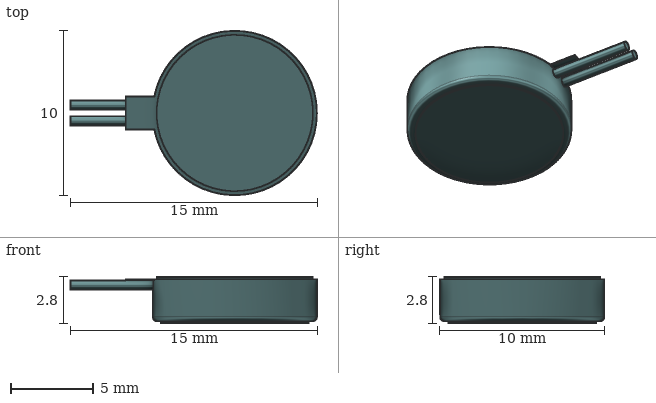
import cadquery as cq

total_length = 15.0
total_height = 2.8
case_diameter = 10.0
case_radius = case_diameter / 2
case_bottom_fillet = 0.3
lid_diameter = 9.51
lid_height = 0.14
base_diameter = 9.0
base_height = 0.1

tab_width = 2.02
tab_overhang = 1.64
tab_thickness = 0.08

wire_diameter = 0.57
wire_spacing = 0.96

case_top = total_height - lid_height
wire_end_x = case_radius - total_length
tab_bottom = case_top - tab_thickness
wire_axis_z = tab_bottom - wire_diameter / 2


def make_disc(diameter, bottom, height):
    return cq.Workplane("XY").workplane(offset=bottom).circle(diameter / 2).extrude(height)


def make_tab():
    """Plate from the case axis out past the wall; its inner part merges into the case."""
    tab_length = case_radius + tab_overhang
    return (
        cq.Workplane("XY")
        .box(tab_length, tab_width, tab_thickness, centered=(False, True, False))
        .translate((-tab_length, 0, tab_bottom))
    )


def make_housing():
    """Case with a rounded lower edge, a raised lid, a shallow base and the tab."""
    case = make_disc(case_diameter, base_height, case_top - base_height)
    case = case.faces("<Z").edges().fillet(case_bottom_fillet)
    lid = make_disc(lid_diameter, case_top, lid_height)
    base = make_disc(base_diameter, 0, base_height)
    return case.union(lid).union(base).union(make_tab())


def make_wire(y):
    """Straight round wire along X, its inner end shaped to the curved case wall."""
    rod = (
        cq.Workplane("YZ", origin=(wire_end_x, y, wire_axis_z))
        .circle(wire_diameter / 2)
        .extrude(-wire_end_x - case_radius / 2)
    )
    return rod.cut(make_disc(case_diameter, 0, total_height)).solids().val()


housing = make_housing()
wires = []
for side in (-1, 1):
    wires.append(make_wire(side * wire_spacing / 2))

result = cq.Compound.makeCompound([housing.solids().val(), *wires])